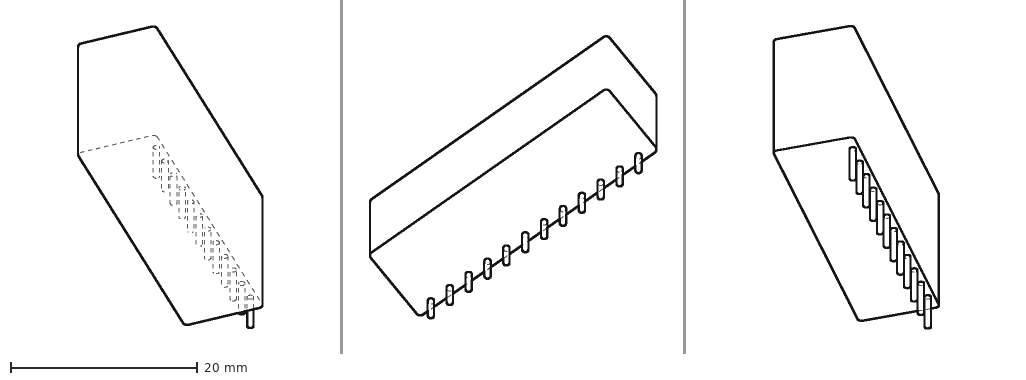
import cadquery as cq

body_length = 32.2
body_width = 9.1
total_height = 19.0
pin_length = 4.0
body_height = total_height - pin_length
corner_radius = 0.48
rim_radius = 0.25

pin_count = 12
pin_pitch = 2.55
pin_diameter = 0.7
pin_edge_distance = 0.75
pin_tip_radius = 0.1
row_y = body_width / 2 - pin_edge_distance


def make_body():
    """Box standing on Z = 0, with its bottom edges left sharp."""
    box = cq.Workplane("XY").box(body_length, body_width, body_height, centered=(True, True, False))
    return box.edges("|Z").fillet(corner_radius).faces(">Z").edges().fillet(rim_radius)


def make_pin(x):
    """Pin hanging from the bottom of the body, with a rounded tip rim."""
    pin = cq.Workplane("XY").center(x, row_y).circle(pin_diameter / 2).extrude(-pin_length)
    return pin.faces("<Z").edges().fillet(pin_tip_radius)


result = make_body()
first_pin_x = -pin_pitch * (pin_count - 1) / 2
for index in range(pin_count):
    result = result.union(make_pin(first_pin_x + index * pin_pitch))